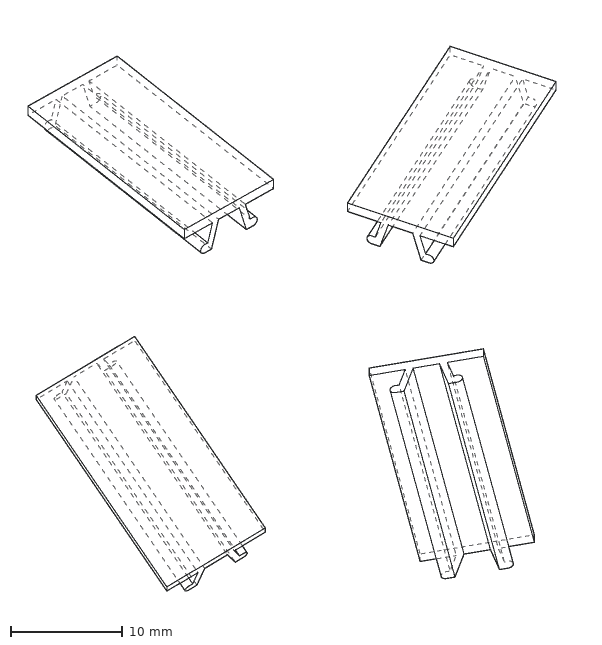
import cadquery as cq
import math

length = 21.8
plate_width = 10.5
plate_thickness = 1.1
total_height = 4.2

leg_thickness = 0.7
leg_splay_angle = 15.0
leg_root_gap = 2.42

bead_radius = 0.52
bead_center_y = 2.805
bead_center_z = 0.51
ledge_z = 1.01

plate_bottom_z = total_height - plate_thickness
leg_slope = math.tan(math.radians(leg_splay_angle))
leg_width_across = leg_thickness / math.cos(math.radians(leg_splay_angle))


def inner_face_y(z):
    """Distance of the inner leg face from the middle plane at height z."""
    return leg_root_gap / 2 + leg_slope * (plate_bottom_z - z)


def outer_face_y(z):
    """Distance of the outer leg face from the middle plane at height z."""
    return inner_face_y(z) + leg_width_across


def bead_half_chord(z):
    """Half the width of the bead circle at height z."""
    return math.sqrt(bead_radius**2 - (z - bead_center_z) ** 2)


def make_plate():
    """Flat rectangular plate, centred on the Z axis."""
    plate = cq.Workplane("XY").workplane(offset=plate_bottom_z)
    return plate.box(length, plate_width, plate_thickness, centered=(True, True, False))


def make_leg():
    """Leg on the +Y side: a slanted web ending in a bead with a flat underside."""
    bead_foot_y = bead_center_y + bead_half_chord(0)
    bead_tip_y = bead_center_y + bead_radius
    ledge_end_y = bead_center_y - bead_half_chord(ledge_z)
    return (
        cq.Workplane("YZ")
        .moveTo(inner_face_y(plate_bottom_z), plate_bottom_z)
        .lineTo(inner_face_y(0), 0)
        .lineTo(bead_foot_y, 0)
        .threePointArc((bead_tip_y, bead_center_z), (ledge_end_y, ledge_z))
        .lineTo(outer_face_y(ledge_z), ledge_z)
        .lineTo(outer_face_y(plate_bottom_z), plate_bottom_z)
        .close()
        .extrude(length / 2, both=True)
    )


leg = make_leg()
result = make_plate().union(leg).union(leg.mirror("XZ"))